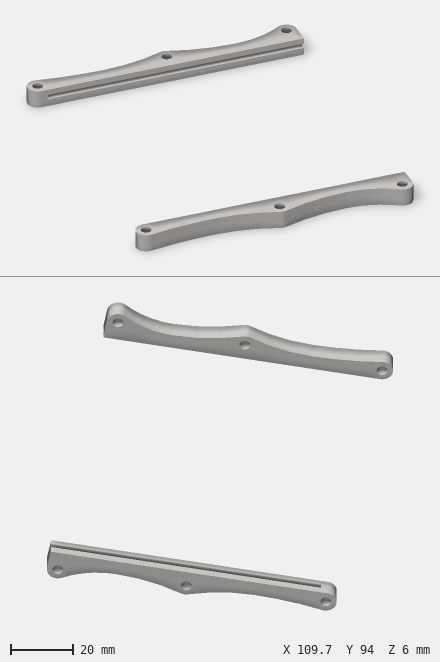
import cadquery as cq
import math

overall_width = 109.7
rail_length = 94.0
rail_height = 6.0
cover_thickness = 2.0
base_height = rail_height - cover_thickness
inner_face_x = 44.5

boss_radius = 3.5
hole_diameter = 3.5
rear_y = rail_length / 2
rear_boss = (overall_width / 2 - boss_radius, rear_y - boss_radius)
middle_boss = (50.0, 1.8)
front_boss = (inner_face_x + boss_radius, boss_radius - rail_length / 2)
bosses = [rear_boss, middle_boss, front_boss]

waist_x = 49.6
rear_waist = (waist_x, 25.1)
front_waist = (waist_x, -20.4)
rear_boss_angle = -30
middle_boss_angle = 18
front_boss_angle = 11

slot_height = 1.5
slot_depth = 2.0
slot_front_gap = 2.2
slot_front_y = front_boss[1] + slot_front_gap


def boss_point(boss, angle):
    """Point on a boss circle at an angle in degrees from +X."""
    radians = math.radians(angle)
    return (boss[0] + boss_radius * math.cos(radians), boss[1] + boss_radius * math.sin(radians))


def scallop_arc_middle(waist, end):
    """Midpoint of the arc that leaves the waist parallel to Y and reaches the end."""
    run = end[0] - waist[0]
    rise = end[1] - waist[1]
    radius = (run**2 + rise**2) / (2 * run)
    half_sweep = math.atan2(abs(run), abs(rise))
    return (
        waist[0] + radius * (1 - math.cos(half_sweep)),
        waist[1] + math.copysign(radius * math.sin(half_sweep), rise),
    )


def rail_plate(bottom_z, thickness):
    """Right-hand rail outline with its screw holes, extruded upwards."""
    rear_scallop_start = boss_point(rear_boss, rear_boss_angle)
    rear_scallop_end = boss_point(middle_boss, middle_boss_angle)
    front_scallop_start = boss_point(middle_boss, -middle_boss_angle)
    front_scallop_end = boss_point(front_boss, front_boss_angle)
    plate = (
        cq.Workplane("XY", origin=(0, 0, bottom_z))
        .moveTo(inner_face_x, rear_y)
        .lineTo(rear_boss[0], rear_y)
        .threePointArc(boss_point(rear_boss, 45), rear_scallop_start)
        .threePointArc(scallop_arc_middle(rear_waist, rear_scallop_start), rear_waist)
        .threePointArc(scallop_arc_middle(rear_waist, rear_scallop_end), rear_scallop_end)
        .threePointArc(boss_point(middle_boss, 0), front_scallop_start)
        .threePointArc(scallop_arc_middle(front_waist, front_scallop_start), front_waist)
        .threePointArc(scallop_arc_middle(front_waist, front_scallop_end), front_scallop_end)
        .threePointArc(boss_point(front_boss, -90), (inner_face_x, front_boss[1]))
        .close()
        .extrude(thickness)
    )
    holes = (
        cq.Workplane("XY", origin=(0, 0, bottom_z))
        .pushPoints(bosses)
        .circle(hole_diameter / 2)
        .extrude(thickness)
    )
    return plate.cut(holes)


def slotted_base():
    """Lower part of the right-hand rail, stepped down along its inner face."""
    slot = cq.Workplane("XY").box(
        slot_depth, rear_y - slot_front_y, slot_height, centered=False
    ).translate((inner_face_x, slot_front_y, base_height - slot_height))
    return rail_plate(0, base_height).cut(slot)


def cover():
    """Flat plate that closes the top of the slot on the right-hand rail."""
    return rail_plate(base_height, cover_thickness)


bodies = []
for right_body in (slotted_base(), cover()):
    bodies.append(right_body.val())
    bodies.append(right_body.mirror("YZ").val())

result = cq.Compound.makeCompound(bodies)